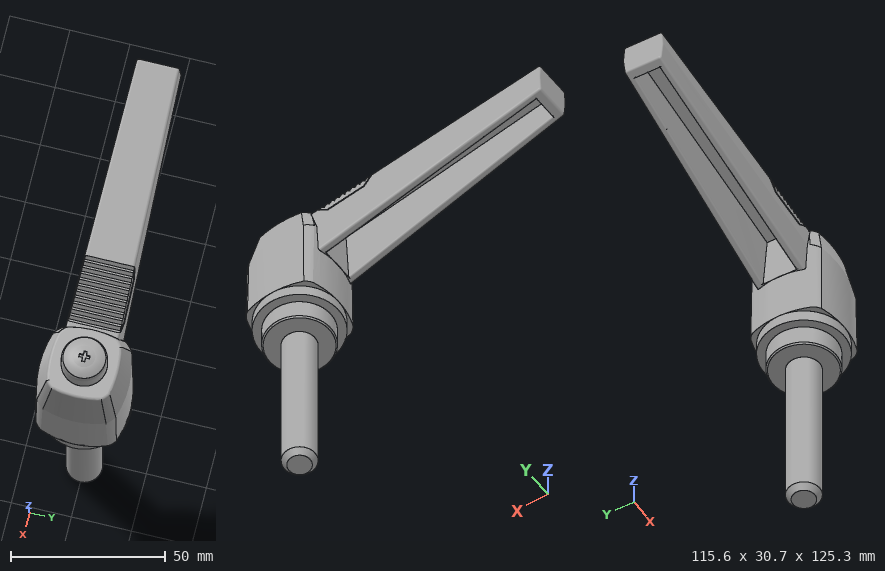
import cadquery as cq
import math


STUD_DIAMETER = 12.0
STUD_TIP_DIAMETER = 8.3
STUD_TIP_HEIGHT = 2.0
COLLAR_DIAMETER = 24.5
COLLAR_BOTTOM = 59.9
COLLAR_CHAMFER = 0.5
SKIRT_DIAMETER = 30.7
SKIRT_BOTTOM = 67.4
HUB_BOTTOM = 71.7

HUB_BOTTOM_SECTION = (SKIRT_DIAMETER / 2, SKIRT_DIAMETER / 2, (11.2, 13.4), (13.3, 11.2))
HUB_SHOULDER_SECTION = (15.4, 15.0, (11.0, 13.2), (13.7, 10.5))
HUB_TOP_SECTION = (11.5, 11.4, (8.1, 10.5), (10.5, 8.3))
CORNER_BULGE = 0.1
SHOULDER_HEIGHT = 98.0
SHOULDER_TILT = 12.2
HUB_TOP_HEIGHT = 110.8
HUB_TOP_TILT = 4.0
HUB_RIM_FILLET = 1.0

CAP_DIAMETER = 15.0
CAP_SIDE_TOP = 115.0
CAP_DOME_DIAMETER = 13.9
CAP_DOME_BOTTOM = 116.9
CAP_TOP = 118.8
CAP_CENTRE_DIAMETER = 7.3
CAP_CENTRE_BOTTOM = 118.2
CAP_RING_BULGE = 0.3
CROSS_LENGTH = 3.5
CROSS_WIDTH = 1.0
CROSS_DEPTH = 1.0

TIP_X = -100.2
ROOT_X = -7.5
TOP_TILT = 9.5
UNDERSIDE_TILT = 15.4
TOTAL_HEIGHT = 125.3
TIP_BOTTOM = 113.5
TIP_HALF_WIDTHS = (7.1, 7.6, 6.9)
ROOT_HALF_WIDTHS = (8.9, 9.8, 9.3)
HANDLE_FILLET = 0.9

POCKET_START_X = -97.1
POCKET_END_X = -15.0
CEILING_THICKNESS = 2.8
POCKET_TIP_HALF_WIDTHS = (4.0, 4.5)
POCKET_ROOT_HALF_WIDTHS = (4.8, 6.3)
POCKET_RIM_FILLET = 0.6

PAD_START_X = -34.6
PAD_LENGTH = 21.8
PAD_INSET = 0.3
PAD_DEPTH = 4.0
PAD_START_RUN = 3.0
PAD_END_RUN = 4.5
TOOTH_COUNT = 11
TOOTH_DEPTH = 1.0


def rise(run, tilt):
    return run * math.tan(math.radians(tilt))


FILLET_LOSS = rise(HANDLE_FILLET, TOP_TILT) + HANDLE_FILLET / math.cos(math.radians(TOP_TILT)) - HANDLE_FILLET
TIP_TOP = TOTAL_HEIGHT + FILLET_LOSS


def handle_top(x):
    return TIP_TOP - rise(x - TIP_X, TOP_TILT)


def handle_bottom(x):
    return TIP_BOTTOM - rise(x - TIP_X, UNDERSIDE_TILT)


def shoulder(x):
    return SHOULDER_HEIGHT - rise(x, SHOULDER_TILT)


def yz_polygon(x, half_profile):
    """Closed wire at the given X, symmetric about Y = 0, from (half width, Z) pairs."""
    mirrored = [(-y, z) for y, z in reversed(half_profile)]
    points = [cq.Vector(x, y, z) for y, z in half_profile + mirrored]
    return cq.Wire.makePolygon(points, close=True)


def ruled_solid(first, last):
    return cq.Workplane(obj=cq.Solid.makeLoft([first, last], True))


def make_base():
    stud_radius = STUD_DIAMETER / 2
    collar_radius = COLLAR_DIAMETER / 2
    skirt_radius = SKIRT_DIAMETER / 2
    return (
        cq.Workplane("XZ")
        .lineTo(STUD_TIP_DIAMETER / 2, 0)
        .lineTo(stud_radius, STUD_TIP_HEIGHT)
        .lineTo(stud_radius, COLLAR_BOTTOM)
        .lineTo(collar_radius - COLLAR_CHAMFER, COLLAR_BOTTOM)
        .lineTo(collar_radius, COLLAR_BOTTOM + COLLAR_CHAMFER)
        .lineTo(collar_radius, SKIRT_BOTTOM)
        .lineTo(skirt_radius, SKIRT_BOTTOM)
        .lineTo(skirt_radius, HUB_BOTTOM)
        .lineTo(0, HUB_BOTTOM)
        .close()
        .revolve(360, (0, 0, 0), (0, 1, 0))
    )


def hub_section(height, tilt, section):
    """Square with bowed sides and round corners, on a plane falling toward +X by the tilt."""
    half_x, half_y, (y_side_x, y_side_y), (x_side_x, x_side_y) = section
    corner_x = (y_side_x + x_side_x) / 2 + CORNER_BULGE
    corner_y = (y_side_y + x_side_y) / 2 + CORNER_BULGE
    angle = math.radians(tilt)
    plane = cq.Plane(
        origin=(0, 0, height),
        xDir=(math.cos(angle), 0, -math.sin(angle)),
        normal=(math.sin(angle), 0, math.cos(angle)),
    )
    return (
        cq.Workplane(plane)
        .moveTo(x_side_x, -x_side_y)
        .threePointArc((half_x, 0), (x_side_x, x_side_y))
        .threePointArc((corner_x, corner_y), (y_side_x, y_side_y))
        .threePointArc((0, half_y), (-y_side_x, y_side_y))
        .threePointArc((-corner_x, corner_y), (-x_side_x, x_side_y))
        .threePointArc((-half_x, 0), (-x_side_x, -x_side_y))
        .threePointArc((-corner_x, -corner_y), (-y_side_x, -y_side_y))
        .threePointArc((0, -half_y), (y_side_x, -y_side_y))
        .threePointArc((corner_x, -corner_y), (x_side_x, -x_side_y))
        .close()
        .val()
    )


def make_hub():
    bottom = hub_section(HUB_BOTTOM, 0, HUB_BOTTOM_SECTION)
    middle = hub_section(SHOULDER_HEIGHT, SHOULDER_TILT, HUB_SHOULDER_SECTION)
    top = hub_section(HUB_TOP_HEIGHT, HUB_TOP_TILT, HUB_TOP_SECTION)
    upper = ruled_solid(middle, top).faces(">Z").edges().fillet(HUB_RIM_FILLET)
    return ruled_solid(bottom, middle).union(upper)


def make_cap():
    side_radius = CAP_DIAMETER / 2
    dome_radius = CAP_DOME_DIAMETER / 2
    centre_radius = CAP_CENTRE_DIAMETER / 2
    centre_height = CAP_TOP - CAP_CENTRE_BOTTOM
    sphere_radius = (centre_radius**2 + centre_height**2) / (2 * centre_height)
    ring_middle = (
        (dome_radius + centre_radius) / 2,
        (CAP_DOME_BOTTOM + CAP_CENTRE_BOTTOM) / 2 + CAP_RING_BULGE,
    )
    cap = (
        cq.Workplane("XZ")
        .moveTo(0, SHOULDER_HEIGHT)
        .lineTo(side_radius, SHOULDER_HEIGHT)
        .lineTo(side_radius, CAP_SIDE_TOP)
        .tangentArcPoint((dome_radius, CAP_DOME_BOTTOM), relative=False)
        .threePointArc(ring_middle, (centre_radius, CAP_CENTRE_BOTTOM))
        .radiusArc((0, CAP_TOP), -sphere_radius)
        .close()
        .revolve(360, (0, 0, 0), (0, 1, 0))
    )
    for size in ((CROSS_LENGTH, CROSS_WIDTH), (CROSS_WIDTH, CROSS_LENGTH)):
        slot = cq.Workplane("XY", origin=(0, 0, CAP_TOP)).rect(*size).extrude(-CROSS_DEPTH)
        cap = cap.cut(slot)
    return cap


def handle_body(inset=0.0):
    """Tapered handle without its pocket, its sides moved inward by the inset."""

    def section(x, half_widths):
        heights = (handle_top(x), shoulder(x), handle_bottom(x))
        return yz_polygon(x, [(w - inset, z) for w, z in zip(half_widths, heights)])

    return ruled_solid(section(TIP_X, TIP_HALF_WIDTHS), section(ROOT_X, ROOT_HALF_WIDTHS))


def make_pocket():
    """Open-bottomed pocket with drafted walls, following the slope of the handle."""

    def section(x, half_widths):
        ceiling, opening = half_widths
        return yz_polygon(x, [(ceiling, handle_top(x) - CEILING_THICKNESS), (opening, handle_bottom(x))])

    return ruled_solid(
        section(POCKET_START_X, POCKET_TIP_HALF_WIDTHS),
        section(POCKET_END_X, POCKET_ROOT_HALF_WIDTHS),
    )


def make_pad_zone():
    """Prism across the handle whose sides bound the grip pad."""
    end_x = PAD_START_X + PAD_LENGTH
    floor_start = PAD_START_X + PAD_START_RUN
    floor_end = end_x - PAD_END_RUN
    return (
        cq.Workplane("XZ")
        .moveTo(PAD_START_X, handle_top(PAD_START_X))
        .lineTo(floor_start, handle_top(floor_start) - PAD_DEPTH)
        .lineTo(floor_end, handle_top(floor_end) - PAD_DEPTH)
        .lineTo(end_x, handle_top(end_x))
        .close()
        .extrude(SKIRT_DIAMETER / 2, both=True)
    )


def make_tooth_gaps():
    """V grooves side by side across the handle top; what is left between them are the teeth."""
    pitch = PAD_LENGTH / TOOTH_COUNT
    outline = cq.Workplane("XZ").moveTo(PAD_START_X, handle_top(PAD_START_X))
    for tooth in range(TOOTH_COUNT):
        start = PAD_START_X + tooth * pitch
        middle = start + pitch / 2
        end = start + pitch
        outline = outline.lineTo(middle, handle_top(middle) - TOOTH_DEPTH).lineTo(end, handle_top(end))
    outline = outline.lineTo(PAD_START_X + PAD_LENGTH, handle_top(PAD_START_X)).close()
    return outline.extrude(SKIRT_DIAMETER / 2, both=True)


def is_off_parting_line(edge):
    centre = edge.Center()
    return abs(centre.z - shoulder(centre.x)) > HANDLE_FILLET


def is_pocket_rim(edge):
    """Long bottom edges of the pocket walls."""
    centre = edge.Center()
    on_underside = abs(centre.z - handle_bottom(centre.x)) < POCKET_RIM_FILLET
    beside_pocket = POCKET_TIP_HALF_WIDTHS[1] < abs(centre.y) < POCKET_ROOT_HALF_WIDTHS[1]
    return on_underside and beside_pocket


def make_handle():
    rounded = handle_body().edges("not >X").filter(is_off_parting_line).fillet(HANDLE_FILLET)
    hollow = rounded.cut(make_pocket()).edges().filter(is_pocket_rim).fillet(POCKET_RIM_FILLET)
    pad_zone = make_pad_zone()
    pad = handle_body(PAD_INSET).intersect(pad_zone).cut(make_pocket())
    return hollow.cut(pad_zone).union(pad).cut(make_tooth_gaps())


lever = make_hub().union(make_handle()).cut(make_pocket())
result = make_base().union(lever).union(make_cap())